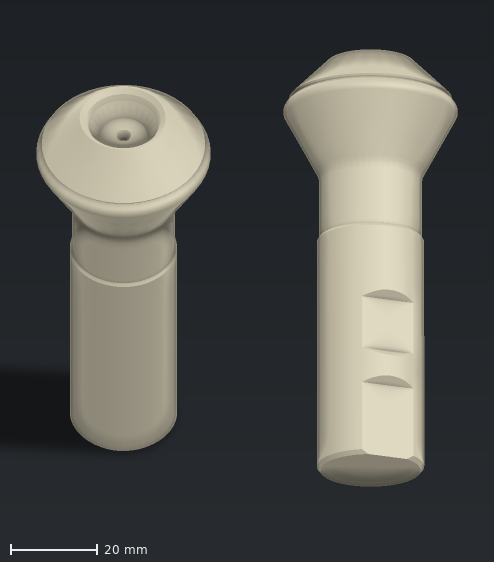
import cadquery as cq
import math

total_length = 100.0
head_radius = 20.3

shank_radius = 12.5
shank_top = 56.1
foot_chamfer_height = 1.0
foot_chamfer_width = 0.8
flat_depth = 1.8
flat_y = shank_radius - flat_depth
upper_flat_bottom = 26.2
upper_flat_top = 38.6
lower_flat_top = 17.5

neck_radius = 12.0
shoulder_top = 56.9
neck_fillet_radius = 5.0
flare_angle = math.radians(28)

rim_radius = 2.0
rim_top = 89.5
rim_top_angle = math.radians(45)
joint_z = 90.6

rim_centre_radius = head_radius - rim_radius
rim_centre_z = rim_top - rim_radius * math.sin(rim_top_angle)
rim_top_radius = rim_centre_radius + rim_radius * math.cos(rim_top_angle)
rim_bottom_radius = rim_centre_radius + rim_radius * math.cos(flare_angle)
rim_bottom = rim_centre_z - rim_radius * math.sin(flare_angle)
joint_radius = rim_top_radius - (joint_z - rim_top) * math.tan(rim_top_angle)
neck_corner_z = rim_bottom - (rim_bottom_radius - neck_radius) / math.tan(flare_angle)
neck_tangent_length = neck_fillet_radius * math.tan(flare_angle / 2)
neck_top = neck_corner_z - neck_tangent_length
blend_radius = neck_radius + neck_tangent_length * math.sin(flare_angle)
blend_top = neck_corner_z + neck_tangent_length * math.cos(flare_angle)

cap_edge_z = 91.2
cap_top_radius = 10.2
cap_edge_radius = cap_top_radius + total_length - cap_edge_z

recess_mouth_radius = 9.8
recess_step_radius = 8.7
recess_step_depth = 1.1
recess_throat_radius = 8.0
recess_throat_depth = 2.5
recess_floor_radius = 5.6
recess_depth = 5.9

centre_mouth_radius = 1.8
centre_pilot_radius = 0.9
centre_half_angle = math.radians(30)
centre_cone_depth = (centre_mouth_radius - centre_pilot_radius) / math.tan(centre_half_angle)
centre_pilot_depth = 1.0
centre_tip_depth = 0.5


def revolve_about_z(profile):
    """Turn a closed (radius, z) profile about the Z axis."""
    return profile.close().revolve(360, (0, 0, 0), (0, 1, 0))


def make_flat_cutter(bottom, top, bottom_slope, top_slope):
    """Cut a flat on the +Y side; each slope is the outward Y-to-Z rise of an end face."""
    reach = 2 * flat_depth
    return (
        cq.Workplane("YZ", origin=(-shank_radius, 0, 0))
        .moveTo(flat_y, bottom)
        .lineTo(flat_y + reach, bottom - bottom_slope * reach)
        .lineTo(flat_y + reach, top + top_slope * reach)
        .lineTo(flat_y, top)
        .close()
        .extrude(2 * shank_radius)
    )


def make_holder():
    holder = revolve_about_z(
        cq.Workplane("XZ")
        .lineTo(shank_radius - foot_chamfer_width, 0)
        .lineTo(shank_radius, foot_chamfer_height)
        .lineTo(shank_radius, shank_top)
        .lineTo(neck_radius, shoulder_top)
        .lineTo(neck_radius, neck_top)
        .tangentArcPoint((blend_radius, blend_top), relative=False)
        .lineTo(rim_bottom_radius, rim_bottom)
        .threePointArc((head_radius, rim_centre_z), (rim_top_radius, rim_top))
        .lineTo(joint_radius, joint_z)
        .lineTo(0, joint_z)
    )
    upper_flat = make_flat_cutter(upper_flat_bottom, upper_flat_top, 1, 1)
    lower_flat = make_flat_cutter(0, lower_flat_top, 0, 1)
    return holder.cut(upper_flat).cut(lower_flat)


def make_cap():
    floor_z = total_length - recess_depth
    pilot_top = floor_z - centre_cone_depth
    pilot_bottom = pilot_top - centre_pilot_depth
    return revolve_about_z(
        cq.Workplane("XZ")
        .moveTo(0, joint_z)
        .lineTo(joint_radius, joint_z)
        .lineTo(cap_edge_radius, cap_edge_z)
        .lineTo(cap_top_radius, total_length)
        .lineTo(recess_mouth_radius, total_length)
        .lineTo(recess_step_radius, total_length - recess_step_depth)
        .lineTo(recess_throat_radius, total_length - recess_throat_depth)
        .lineTo(recess_floor_radius, floor_z)
        .lineTo(centre_mouth_radius, floor_z)
        .lineTo(centre_pilot_radius, pilot_top)
        .lineTo(centre_pilot_radius, pilot_bottom)
        .lineTo(0, pilot_bottom - centre_tip_depth)
    )


holder = make_holder()
cap = make_cap()
result = cq.Compound.makeCompound([holder.val(), cap.val()])